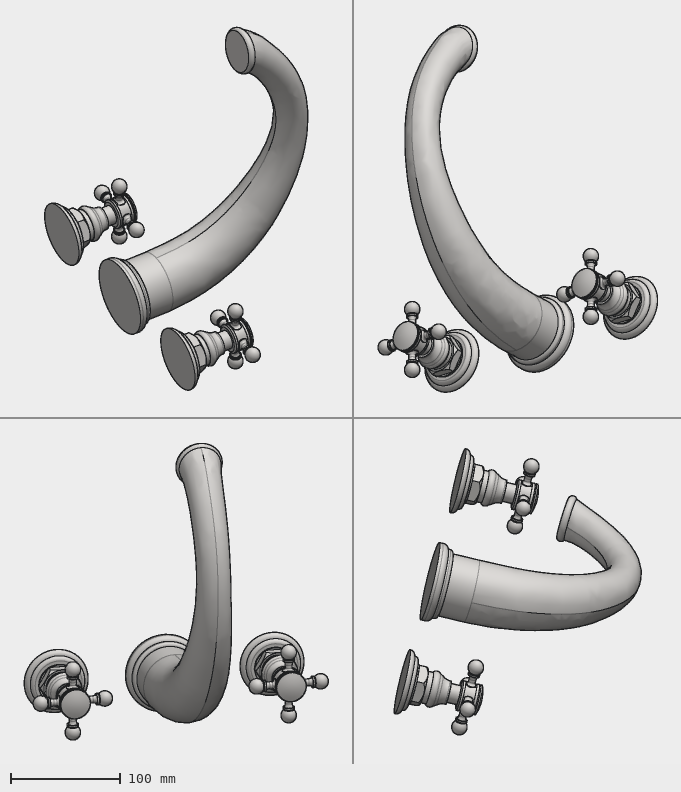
import cadquery as cq
import math


flange_radius = 36.3
flange_rim_height = 3.0
flange_step_height = 9.2
flange_neck_radius = 32.5
flange_neck_height = 11.0
flange_height = 14.3
tube_radius = 29.2
tube_straight_end = 39.0

mouth_y = 132.0
mouth_z = 238.3
mouth_heading = 170
mouth_radius = 19.5

tube_sections = [
    (tube_straight_end, 0, 0, tube_radius),
    (59.5, 1.8, 9, 29.0),
    (86.3, 7.7, 18, 27.7),
    (133.3, 35.0, 39, 24.5),
    (159.8, 66.0, 52, 21.0),
    (175.5, 97.5, 63, 18.0),
    (182.5, 141.3, 92, 15.8),
    (170.2, 189.0, 114, 16.0),
    (149.5, 220.7, 137, 17.0),
    (mouth_y, mouth_z, mouth_heading, mouth_radius),
]

lip_radius = 21.7
lip_thickness = 7.0

handle_spacing = 203.0

plate_radius = 30.0
plate_step_radius = 25.5
plate_step_height = 5.5
plate_top_radius = 22.0
plate_height = 9.5
collar_radius = 18.7

nut_across_flats = 34.0
nut_base = 11.3
nut_top = 20.5
nut_chamfer_height = 2.7
nut_top_radius = 16.7

neck_radius = 15.0
bead_base = 25.5
bead_radius = 17.0
bead_middle = 29.0
bead_top = 32.0
bead_top_radius = 15.5
bell_base = 34.8
bell_base_radius = 14.0
bell_middle = 38.0
bell_middle_radius = 12.0
bell_top = 42.0
bell_top_radius = 11.0
bell_cap = 43.5
stem_radius = 9.0

head_radius = 14.0
waist_radius = 13.7
groove_radius = 13.0
head_base = 53.0
head_base_radius = 12.0
head_edge = 54.0
waist_base = 56.2
waist_top = 66.5
groove_base = 69.3
groove_top = 70.5
dome_base = 72.0
dome_top = 74.7

arm_count = 4
arm_rod_radius = 3.3
arm_rod_end = 18.5
arm_foot = 13.0
arm_foot_fillet = 2.7
arm_ring_start = 22.0
arm_flare_radius = 4.2
arm_ring_end = 23.8
arm_ring_radius = 5.5
arm_ball_neck_radius = 4.8
ball_radius = 7.0
arm_reach = 37.2
ball_centre = arm_reach - ball_radius
arm_height = (waist_base + waist_top) / 2


def quarter_round(profile, start, end):
    """Continue an (r, y) profile with a convex quarter ellipse that is upright at the start."""
    diagonal = math.sqrt(0.5)
    middle = (
        end[0] + (start[0] - end[0]) * diagonal,
        start[1] + (end[1] - start[1]) * diagonal,
    )
    return profile.threePointArc(middle, end)


def turned(profile):
    """Close an (r, y) profile on the Y axis and turn it into a solid."""
    return profile.close().revolve(360, (0, 0, 0), (0, 1, 0))


def make_spout_flange():
    rim = (flange_radius, flange_rim_height)
    step = (flange_neck_radius, flange_step_height)
    neck = (flange_neck_radius, flange_neck_height)
    top = (tube_radius, flange_height)
    profile = cq.Workplane("XY").lineTo(flange_radius, 0).lineTo(*rim)
    profile = quarter_round(profile, rim, step).lineTo(*neck)
    profile = quarter_round(profile, neck, top)
    profile = profile.lineTo(tube_radius, tube_straight_end).lineTo(0, tube_straight_end)
    return turned(profile)


def heading_vector(heading):
    angle = math.radians(heading)
    return cq.Vector(0, math.cos(angle), math.sin(angle))


def make_curved_tube():
    circles = []
    for y, z, heading, radius in tube_sections:
        circle = cq.Wire.makeCircle(radius, cq.Vector(0, y, z), heading_vector(heading))
        circles.append(circle)
    return cq.Workplane(obj=cq.Solid.makeLoft(circles))


def make_lip():
    """Disc with a bulging rim that closes the mouth of the tube."""
    profile = (
        cq.Workplane("XY")
        .lineTo(mouth_radius, 0)
        .threePointArc((lip_radius, lip_thickness / 2), (mouth_radius, lip_thickness))
        .lineTo(0, lip_thickness)
    )
    lip = turned(profile).rotate((0, 0, 0), (1, 0, 0), mouth_heading)
    return lip.translate((0, mouth_y, mouth_z))


def make_spout():
    return make_spout_flange().union(make_curved_tube()).union(make_lip())


def make_handle_plate():
    foot = (plate_radius, 0)
    step = (plate_step_radius, plate_step_height)
    top = (plate_top_radius, plate_height)
    profile = quarter_round(cq.Workplane("XY").lineTo(*foot), foot, step)
    profile = quarter_round(profile, step, top)
    profile = profile.lineTo(collar_radius, plate_height).lineTo(collar_radius, nut_base)
    profile = profile.lineTo(0, nut_base)
    return turned(profile)


def make_nut():
    """Hexagon with corners on the X axis, its outer corners turned down to a cone."""
    across_corners = nut_across_flats / math.cos(math.radians(30))
    hexagon = (
        cq.Workplane("XZ", origin=(0, nut_base, 0))
        .polygon(6, across_corners)
        .extrude(nut_base - nut_top)
    )
    corner_radius = across_corners / 2
    cone = turned(
        cq.Workplane("XY")
        .lineTo(corner_radius, 0)
        .lineTo(corner_radius, nut_top - nut_chamfer_height)
        .lineTo(nut_top_radius, nut_top)
        .lineTo(0, nut_top)
    )
    return hexagon.intersect(cone)


def make_stem():
    """Neck, round bead, bell and plain stem between the nut and the head."""
    profile = (
        cq.Workplane("XY")
        .moveTo(0, nut_base)
        .lineTo(neck_radius, nut_base)
        .lineTo(neck_radius, bead_base)
        .lineTo(bead_top_radius, bead_base)
        .threePointArc((bead_radius, bead_middle), (bead_top_radius, bead_top))
        .lineTo(bell_base_radius, bell_base)
        .threePointArc((bell_middle_radius, bell_middle), (bell_top_radius, bell_top))
        .lineTo(bell_top_radius, bell_cap)
        .lineTo(stem_radius, bell_cap)
        .lineTo(stem_radius, head_edge)
        .lineTo(0, head_edge)
    )
    return turned(profile)


def make_head():
    """Round hub with a shallow waist for the arms, a groove and a domed cap."""
    profile = (
        cq.Workplane("XY")
        .moveTo(0, head_base)
        .lineTo(head_base_radius, head_base)
        .lineTo(head_radius, head_edge)
        .lineTo(head_radius, waist_base)
        .lineTo(waist_radius, waist_base)
        .lineTo(waist_radius, waist_top)
        .lineTo(head_radius, waist_top)
        .lineTo(head_radius, groove_base)
        .lineTo(groove_radius, groove_base)
        .lineTo(groove_radius, groove_top)
        .lineTo(head_radius, groove_top)
        .lineTo(head_radius, dome_base)
    )
    dome_rise = dome_top - dome_base
    sphere_radius = (head_radius**2 + dome_rise**2) / (2 * dome_rise)
    middle_radius = head_radius / 2
    middle_drop = sphere_radius - math.sqrt(sphere_radius**2 - middle_radius**2)
    profile = profile.threePointArc((middle_radius, dome_top - middle_drop), (0, dome_top))
    return turned(profile)


def make_arm():
    """Ball-ended arm pointing along +Y from the origin."""
    ball_start = ball_centre - math.sqrt(ball_radius**2 - arm_ball_neck_radius**2)
    foot_radius = arm_rod_radius + arm_foot_fillet
    rod_start = arm_foot + arm_foot_fillet
    profile = (
        cq.Workplane("XY")
        .lineTo(foot_radius, 0)
        .lineTo(foot_radius, arm_foot)
        .radiusArc((arm_rod_radius, rod_start), arm_foot_fillet)
        .lineTo(arm_rod_radius, arm_rod_end)
        .tangentArcPoint((arm_flare_radius, arm_ring_start), relative=False)
        .lineTo(arm_ring_radius, arm_ring_start)
        .lineTo(arm_ring_radius, arm_ring_end)
        .lineTo(arm_ball_neck_radius, arm_ring_end)
        .lineTo(arm_ball_neck_radius, ball_start)
        .threePointArc((ball_radius, ball_centre), (0, arm_reach))
    )
    return turned(profile)


def make_handle(centre_x):
    handle = make_handle_plate().union(make_nut()).union(make_stem()).union(make_head())
    arm = make_arm().rotate((0, 0, 0), (1, 0, 0), 90).translate((0, arm_height, 0))
    for index in range(arm_count):
        handle = handle.union(arm.rotate((0, 0, 0), (0, 1, 0), index * 360 / arm_count))
    return handle.translate((centre_x, 0, 0))


spout = make_spout()
handles = [make_handle(side * handle_spacing / 2) for side in (-1, 1)]

result = cq.Compound.makeCompound([spout.val(), *[handle.val() for handle in handles]])